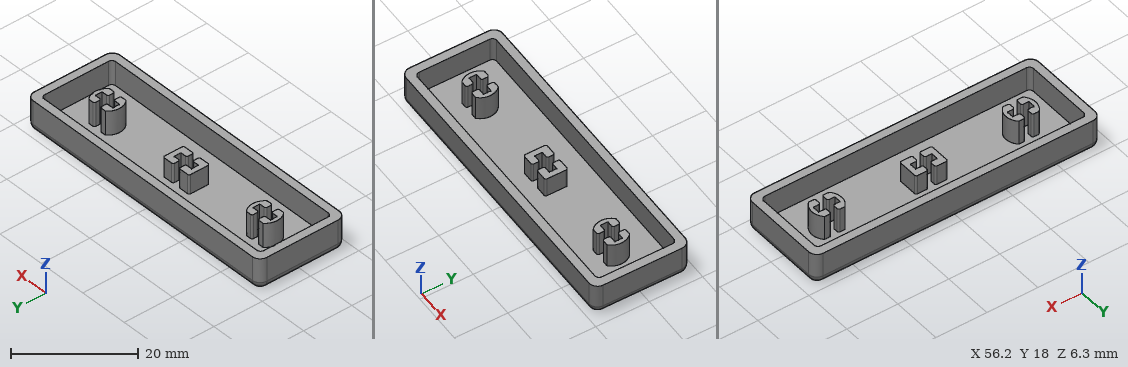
import cadquery as cq

LENGTH = 56.15
WIDTH = 18.0
HEIGHT = 6.3
WALL = 1.65
FLOOR = 1.5
OUTER_RADIUS = 1.65
BOTTOM_FILLET = 1.6
CAVITY_RADIUS = 0.8

STEM_DEPTH = 4.25
CENTRE_STEM_LENGTH = 6.3
CENTRE_STEM_HEIGHT = 3.8
SIDE_STEM_DIAMETER = 5.85
SIDE_STEM_HEIGHT = 4.8
SIDE_STEM_OFFSET = 19.05
CROSS_LENGTH = 4.2
CROSS_SLOT_WIDTH = 1.4
STEM_EDGE_RADIUS = 0.35


def tray():
    """Rounded block with a rectangular cavity open at the top."""
    block = cq.Workplane("XY").box(LENGTH, WIDTH, HEIGHT, centered=(True, True, False))
    block = block.edges("|Z").fillet(OUTER_RADIUS)
    block = block.faces("<Z").edges().fillet(BOTTOM_FILLET)
    cavity = (
        cq.Workplane("XY")
        .workplane(offset=FLOOR)
        .rect(LENGTH - 2 * WALL, WIDTH - 2 * WALL)
        .extrude(HEIGHT - FLOOR)
        .edges("|Z")
        .fillet(CAVITY_RADIUS)
    )
    return block.cut(cavity)


def cut_cross_socket(stem, height):
    """Split the stem along Y, round the split edges and add the cross arm along X."""
    slot = cq.Workplane("XY").rect(CROSS_SLOT_WIDTH, 2 * STEM_DEPTH).extrude(height)
    arm = cq.Workplane("XY").rect(CROSS_LENGTH, CROSS_SLOT_WIDTH).extrude(height)
    edge_zone = cq.selectors.BoxSelector(
        (-CROSS_SLOT_WIDTH, -STEM_DEPTH, 0),
        (CROSS_SLOT_WIDTH, STEM_DEPTH, height),
    )
    split = stem.cut(slot).cut(arm)
    return split.edges("|Z").edges(edge_zone).fillet(STEM_EDGE_RADIUS)


def centre_stem():
    """Rectangular stem with a cross socket."""
    body = (
        cq.Workplane("XY")
        .rect(CENTRE_STEM_LENGTH, STEM_DEPTH)
        .extrude(CENTRE_STEM_HEIGHT)
        .edges("|Z")
        .fillet(STEM_EDGE_RADIUS)
    )
    return cut_cross_socket(body, CENTRE_STEM_HEIGHT)


def side_stem():
    """Round stem with flats facing -Y and +Y and a cross socket."""
    body = cq.Workplane("XY").circle(SIDE_STEM_DIAMETER / 2).extrude(SIDE_STEM_HEIGHT)
    flats = cq.Workplane("XY").rect(SIDE_STEM_DIAMETER, STEM_DEPTH).extrude(SIDE_STEM_HEIGHT)
    return cut_cross_socket(body.intersect(flats), SIDE_STEM_HEIGHT)


result = tray().union(centre_stem().translate((0, 0, FLOOR)))
for side in (-1, 1):
    result = result.union(side_stem().translate((side * SIDE_STEM_OFFSET, 0, FLOOR)))